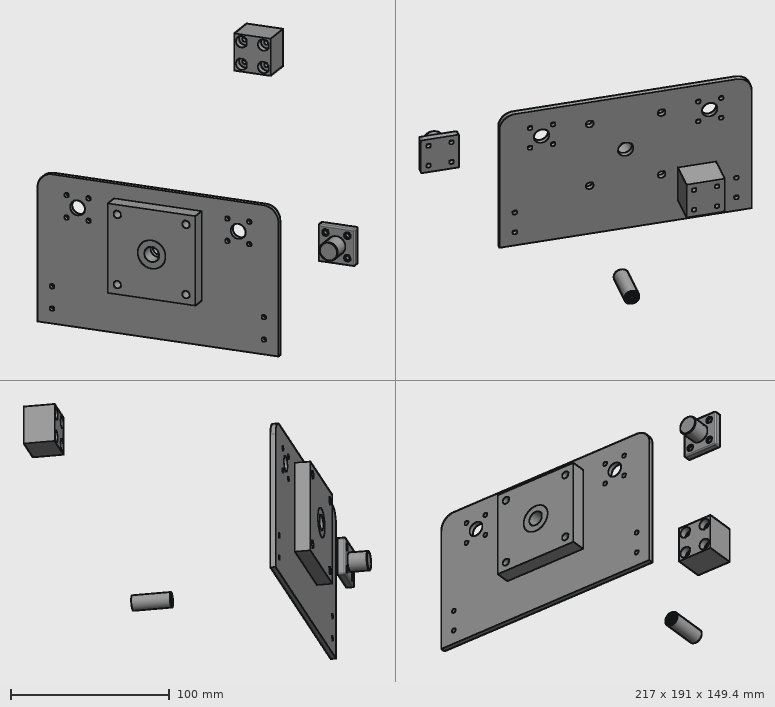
import cadquery as cq


plate_width = 165.0
plate_height = 100.0
plate_thickness = 3.5
plate_corner_radius = 10.0
small_hole_diameter = 3.0
window_diameter = 10.0
window_x = 55.0
window_z = 80.0
edge_hole_x = plate_width / 2 - 10.0
edge_hole_heights = (10.0, 25.0)

pattern_pitch = 15.0

pad_side = 60.0
pad_thickness = 10.0
pad_center_z = 60.0
pad_hole_pitch = 47.0
pad_hole_diameter = 5.0

bushing_diameter = 19.0
bushing_bore = 10.0

plug_tip_y = -12.0
overall_depth = 191.04

block_side = 25.0
block_depth = 20.0
block_center_x = -3.1
block_top_z = 149.42
block_back_y = plug_tip_y + overall_depth
screw_hole_diameter = 3.0
block_counterbore_diameter = 7.5
block_counterbore_depth = 5.0

flange_side = 25.0
flange_thickness = 5.0
flange_fillet = 1.0
spigot_diameter = 12.5
spigot_length = 12.5
spigot_chamfer = 0.4
plug_right_x = 134.46
plug_center_z = window_z
plug_counterbore_diameter = 4.5
plug_counterbore_depth = 1.0

pin_diameter = 10.0
pin_length = 25.0
pin_crown_diameters = (8.0, 6.0, 4.0, 2.0)
pin_crown_step = 0.1
pin_center_x = 28.3
pin_center_z = 27.8
pin_front_y = 93.8


def front_plane(x, y, z):
    """Plane at (x, y, z) facing -Y, with local x along +X and local y along +Z."""
    return cq.Workplane(cq.Plane(origin=(x, y, z), xDir=(1, 0, 0), normal=(0, -1, 0)))


def square_points(pitch, center_x=0.0, center_z=0.0):
    half = pitch / 2
    return [(center_x + sx * half, center_z + sz * half) for sx in (-1, 1) for sz in (-1, 1)]


def drill(body, y, points, diameter, depth):
    """Cut round holes from the plane at y toward +Y."""
    tools = front_plane(0, y, 0).pushPoints(points).circle(diameter / 2).extrude(-depth)
    return body.cut(tools)


def make_plate():
    plate = (
        front_plane(0, 0, plate_height / 2)
        .rect(plate_width, plate_height)
        .extrude(-plate_thickness)
        .edges("|Y and >Z")
        .fillet(plate_corner_radius)
    )
    small_holes = [(side * edge_hole_x, z) for side in (-1, 1) for z in edge_hole_heights]
    for side in (-1, 1):
        small_holes += square_points(pattern_pitch, side * window_x, window_z)
    windows = [(side * window_x, window_z) for side in (-1, 1)]
    pad_holes = square_points(pad_hole_pitch, 0, pad_center_z)
    plate = drill(plate, 0, small_holes, small_hole_diameter, plate_thickness)
    plate = drill(plate, 0, windows, window_diameter, plate_thickness)
    plate = drill(plate, 0, pad_holes, pad_hole_diameter, plate_thickness)
    return drill(plate, 0, [(0, pad_center_z)], bushing_bore, plate_thickness)


def make_pad():
    pad = front_plane(0, 0, pad_center_z).rect(pad_side, pad_side).extrude(pad_thickness)
    holes = square_points(pad_hole_pitch, 0, pad_center_z)
    pad = drill(pad, -pad_thickness, holes, pad_hole_diameter, pad_thickness)
    return drill(pad, -pad_thickness, [(0, pad_center_z)], bushing_diameter, pad_thickness)


def make_bushing():
    return (
        front_plane(0, 0, pad_center_z)
        .circle(bushing_diameter / 2)
        .circle(bushing_bore / 2)
        .extrude(pad_thickness)
    )


def make_block():
    center_z = block_top_z - block_side / 2
    front_y = block_back_y - block_depth
    block = (
        front_plane(block_center_x, block_back_y, center_z)
        .rect(block_side, block_side)
        .extrude(block_depth)
    )
    holes = square_points(pattern_pitch, block_center_x, center_z)
    block = drill(block, front_y, holes, screw_hole_diameter, block_depth)
    return drill(block, front_y, holes, block_counterbore_diameter, block_counterbore_depth)


def make_plug():
    center_x = plug_right_x - flange_side / 2
    flange_front_y = plug_tip_y + spigot_length
    flange = (
        front_plane(center_x, flange_front_y, plug_center_z)
        .rect(flange_side, flange_side)
        .extrude(-flange_thickness)
        .edges("|Y or <Y")
        .fillet(flange_fillet)
    )
    spigot = (
        front_plane(center_x, flange_front_y, plug_center_z)
        .circle(spigot_diameter / 2)
        .extrude(spigot_length)
        .faces("<Y")
        .chamfer(spigot_chamfer)
    )
    holes = square_points(pattern_pitch, center_x, plug_center_z)
    plug = flange.union(spigot)
    plug = drill(plug, flange_front_y, holes, screw_hole_diameter, flange_thickness)
    return drill(plug, flange_front_y, holes, plug_counterbore_diameter, plug_counterbore_depth)


def make_pin():
    """Cylinder along Y, each end crowned by low concentric steps that shrink outward."""
    pin = front_plane(pin_center_x, pin_front_y, pin_center_z).circle(pin_diameter / 2).extrude(-pin_length)
    for level, diameter in enumerate(pin_crown_diameters, start=1):
        rise = level * pin_crown_step
        step = (
            front_plane(pin_center_x, pin_front_y - rise, pin_center_z)
            .circle(diameter / 2)
            .extrude(-(pin_length + 2 * rise))
        )
        pin = pin.union(step)
    return pin


bodies = [make_plate(), make_pad(), make_bushing(), make_block(), make_plug(), make_pin()]
result = cq.Compound.makeCompound([body.val() for body in bodies])